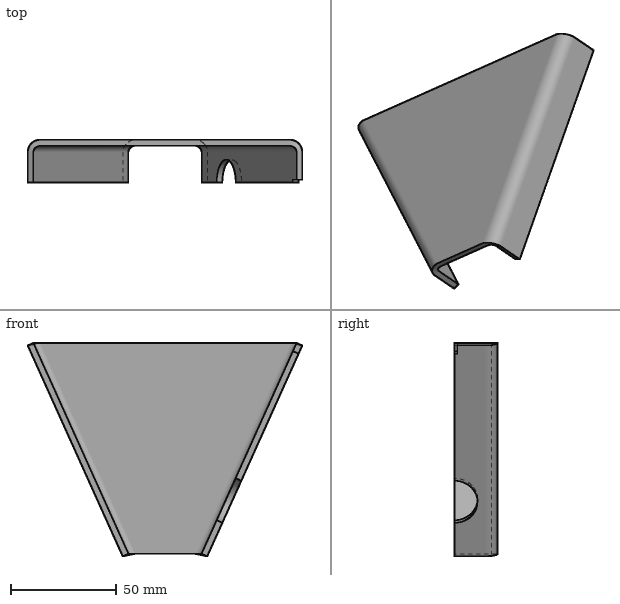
import cadquery as cq
import math

top_width = 130.5
bottom_width = 40.2
depth = 20.5
height = 101.4

thickness = 3.0
inner_radius = 3.0
outer_radius = inner_radius + thickness
bend_spans = 8

scallop_radius = 11.0
scallop_distance = 28.5
notch_length = 4.3
notch_depth = 1.3

half_spread = (top_width - bottom_width) / 2
lean_iterations = 12
lean = 0.0
for _ in range(lean_iterations):
    lean = math.atan(half_spread / (height - thickness * math.sin(lean)))
end_drop = thickness * math.sin(lean)
plate_bottom = end_drop
plate_top = height
bend_y = depth - outer_radius

flange_step = thickness * math.cos(lean)
bend_step = inner_radius / math.cos(lean)
ends = {
    plate_bottom: bottom_width / 2 - flange_step,
    plate_top: top_width / 2 - flange_step,
}


def prism(points, y_start, y_end):
    """Extrude an XZ outline from y_start to y_end."""
    outline = cq.Workplane("XZ", origin=(0, y_start, 0)).polyline(points).close()
    return outline.extrude(y_start - y_end)


def bend_point(z, angle, offset):
    """Point on the bend: angle 0 meets the plate, a quarter turn meets the flange."""
    across = math.sin(angle)
    x = ends[z] - bend_step * (1 - across) + offset * across * math.cos(lean)
    y = bend_y + (inner_radius + offset) * math.cos(angle)
    return cq.Vector(x, y, z - offset * across * math.sin(lean))


def bend_edge(z, offset):
    angles = [i * math.pi / 2 / bend_spans for i in range(bend_spans + 1)]
    return cq.Edge.makeSpline([bend_point(z, angle, offset) for angle in angles])


def make_bend():
    """Quarter bend bounded by ruled faces, with ends square to the sheet."""
    ruled = cq.Face.makeRuledSurface
    inner_low = bend_edge(plate_bottom, 0)
    inner_high = bend_edge(plate_top, 0)
    outer_low = bend_edge(plate_bottom, thickness)
    outer_high = bend_edge(plate_top, thickness)
    faces = [
        ruled(inner_low, inner_high),
        ruled(outer_low, outer_high),
        ruled(inner_low, outer_low),
        ruled(inner_high, outer_high),
    ]
    for angle in (0, math.pi / 2):
        corners = [
            bend_point(plate_bottom, angle, 0),
            bend_point(plate_top, angle, 0),
            bend_point(plate_top, angle, thickness),
            bend_point(plate_bottom, angle, thickness),
        ]
        faces.append(cq.Face.makeFromWires(cq.Wire.makePolygon(corners, close=True)))
    solid = cq.Solid.makeSolid(cq.Shell.makeShell(faces))
    return cq.Workplane(solid.fix())


def make_plate():
    low_x = ends[plate_bottom] - bend_step
    high_x = ends[plate_top] - bend_step
    outline = [
        (-low_x, plate_bottom),
        (low_x, plate_bottom),
        (high_x, plate_top),
        (-high_x, plate_top),
    ]
    return prism(outline, depth - thickness, depth)


def make_flange():
    outline = [
        (ends[plate_bottom], plate_bottom),
        (bottom_width / 2, 0),
        (top_width / 2, plate_top - end_drop),
        (ends[plate_top], plate_top),
    ]
    return prism(outline, 0, bend_y)


def make_flange_cutters():
    """Scallop and end notch, drawn on the outer face of the right flange."""
    face_plane = cq.Plane(
        origin=(bottom_width / 2, 0, 0),
        xDir=(math.sin(lean), 0, math.cos(lean)),
        normal=(math.cos(lean), 0, -math.sin(lean)),
    )
    flange_length = (plate_top - plate_bottom) / math.cos(lean)
    through = 2 * thickness
    face = cq.Workplane(face_plane)
    scallop = face.center(scallop_distance, 0).circle(scallop_radius).extrude(through, both=True)
    notch = (
        face.center(flange_length, 0)
        .rect(2 * notch_length, 2 * notch_depth)
        .extrude(through, both=True)
    )
    return scallop.union(notch)


right_side = make_bend().union(make_flange())
left_side = right_side.mirror("YZ")
body = make_plate().union(right_side).union(left_side)
result = body.cut(make_flange_cutters())